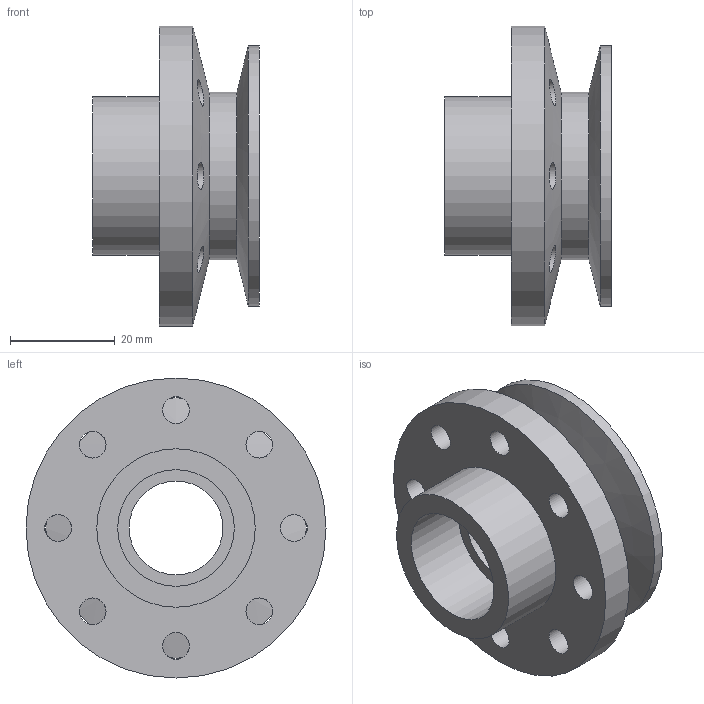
import cadquery as cq
import math

total_length = 31.75
hub_length = 12.7
flange_thickness = 6.35
flange_cone_length = 3.12
rim_cone_length = 2.17
rim_thickness = 2.1

hub_diameter = 30.2
flange_diameter = 57.15
groove_diameter = 31.9
rim_diameter = 49.6

seat_diameter = 22.225
bore_diameter = 17.86
seat_depth = 12.7

hole_count = 8
hole_diameter = 5.1
bolt_circle_diameter = 44.9

flange_start = hub_length
flange_end = flange_start + flange_thickness
groove_start = flange_end + flange_cone_length
rim_start = total_length - rim_thickness
groove_end = rim_start - rim_cone_length


def make_body():
    """Revolve the hub, flange, V-sided groove and rim about the X axis."""
    profile = [
        (0, 0),
        (0, hub_diameter / 2),
        (flange_start, hub_diameter / 2),
        (flange_start, flange_diameter / 2),
        (flange_end, flange_diameter / 2),
        (groove_start, groove_diameter / 2),
        (groove_end, groove_diameter / 2),
        (rim_start, rim_diameter / 2),
        (total_length, rim_diameter / 2),
        (total_length, 0),
    ]
    return cq.Workplane("XZ").polyline(profile).close().revolve(360, (0, 0, 0), (1, 0, 0))


def make_rod(diameter, length, y=0, z=0):
    """Cylinder along +X that starts at the hub end, used as a cutter."""
    return cq.Workplane("YZ").center(y, z).circle(diameter / 2).extrude(length)


def cut_bore(body):
    """Through bore with a wider seat open at the hub end, ending at a flat shoulder."""
    body = body.cut(make_rod(bore_diameter, total_length))
    return body.cut(make_rod(seat_diameter, seat_depth))


def cut_flange_holes(body):
    """Ring of holes through the flange that stop in the groove, short of the rim."""
    for index in range(hole_count):
        angle = 2 * math.pi * index / hole_count
        y = bolt_circle_diameter / 2 * math.cos(angle)
        z = bolt_circle_diameter / 2 * math.sin(angle)
        body = body.cut(make_rod(hole_diameter, groove_start, y, z))
    return body


result = cut_flange_holes(cut_bore(make_body()))